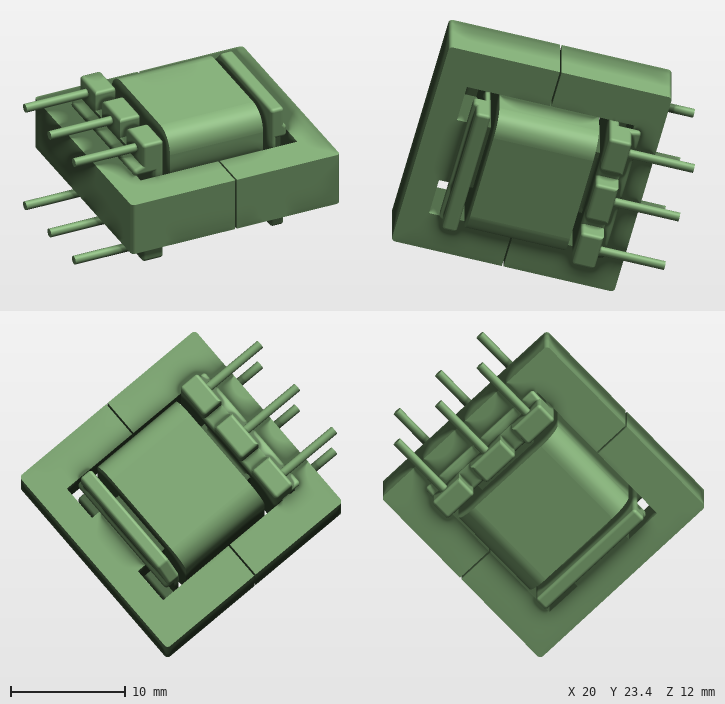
import cadquery as cq
import math


TOLERANCE = 0.002

core_width = 20.0
core_half_length = 10.0
core_thickness = 5.0
core_corner_radius = 0.35
air_gap = 0.16
window_width = 13.0
core_back = 2.5
leg_width = 6.2

winding_size = 12.0
winding_length = 9.0
winding_radius = 2.0

tube_width = 5.1
tube_height = core_thickness
strip_thickness = (leg_width - tube_width) / 2
tube_fillet = 0.25

flange_top = winding_size / 2
ledge_height = 3.0
flange_fillet = 0.3

pin_flange_width = window_width
pin_flange_inner = 5.34
pin_web_outer = 6.27
pin_flange_outer = 7.37
lip_outer = 8.21
lip_root_height = 3.85
lip_tip_height = 3.55
slot_width = 1.4
slot_floor = 4.2

plain_flange_width = winding_size
plain_flange_inner = 5.25
plain_web_thickness = 0.51
plain_web_outer = plain_flange_inner + plain_web_thickness
plain_flange_outer = 6.55
bump_outer = 6.8
bump_height = 4.0
bump_shoulder = 4.3
web_fillet = 0.19
marker_chamfer = 1.5

overall_length = 23.4
core_end = air_gap / 2 + core_half_length
pin_tip = overall_length - core_end
pin_diameter = 0.8
pin_pitch = 5.0
pin_height = pin_pitch
slot_positions = (-pin_pitch / 2, pin_pitch / 2)


def centred_box(x_size, y_start, y_end, z_size):
    """Box centred on X and Z that spans the given Y range."""
    box = cq.Workplane("XY").box(x_size, y_end - y_start, z_size)
    return box.translate((0, (y_start + y_end) / 2, 0))


def side_extrusion(upper_outline, width):
    """Mirror an upper (Y, Z) outline about Z = 0 and extrude it, centred, along X."""
    lower_outline = [(y, -z) for y, z in reversed(upper_outline)]
    outline = cq.Workplane("YZ").polyline(upper_outline + lower_outline).close()
    return outline.extrude(width / 2, both=True)


def tube(height):
    """Rectangular bar along the centre leg, reaching through both flange webs."""
    return centred_box(tube_width, -pin_web_outer, plain_web_outer, height)


def leg_bore(y_start, y_end):
    """Centre-leg section, grooved top and bottom where the tube strips lie."""
    leg = centred_box(leg_width, y_start, y_end, core_thickness)
    strips = tube(tube_height).cut(tube(tube_height - 2 * strip_thickness))
    return leg.cut(strips)


def make_core_half(side):
    """E-shaped half core; side is +1 for the +Y half and -1 for the -Y half."""
    half_start, half_end = sorted((side * air_gap / 2, side * core_end))
    half = centred_box(core_width, half_start, half_end, core_thickness)
    half = half.edges("|Z").edges(">Y" if side > 0 else "<Y").fillet(core_corner_radius)
    window_start, window_end = sorted((side * air_gap / 2, side * (core_end - core_back)))
    half = half.cut(centred_box(window_width, window_start, window_end, core_thickness))
    return half.union(leg_bore(window_start, window_end))


def is_on_line(edge, corners):
    """True for an edge along X that lies on one of the given (Y, |Z|) corners."""
    centre = edge.Center()
    return any(math.hypot(centre.y - y, abs(centre.z) - z) < TOLERANCE for y, z in corners)


def is_sharp_slot_edge(edge):
    """True for a slot edge that stays sharp: below the rim and off the inner flange face."""
    centre = edge.Center()
    off_inner_face = centre.y < -pin_flange_inner - TOLERANCE
    near_slot = any(abs(centre.x - x) < slot_width / 2 + TOLERANCE for x in slot_positions)
    below_rim = slot_floor - TOLERANCE < abs(centre.z) < flange_top - TOLERANCE
    return off_inner_face and near_slot and below_rim


def make_pin_flange():
    """Flange with three pin blocks and a sloped lip above and below the core."""
    lip_corner = (-pin_flange_outer, lip_root_height)
    web_corner = (-pin_web_outer, ledge_height)
    flange = side_extrusion(
        [
            (-pin_flange_inner, flange_top),
            (-pin_flange_outer, flange_top),
            lip_corner,
            (-lip_outer, lip_tip_height),
            (-lip_outer, ledge_height),
            web_corner,
        ],
        pin_flange_width,
    )
    slot_depth = flange_top - slot_floor
    for x in slot_positions:
        for side in (1, -1):
            slot = centred_box(slot_width, -lip_outer, -pin_flange_inner, slot_depth)
            flange = flange.cut(slot.translate((x, 0, side * (slot_floor + slot_depth / 2))))
    sharp_corners = [lip_corner, web_corner]
    rounded_edges = flange.edges().filter(
        lambda edge: not is_on_line(edge, sharp_corners) and not is_sharp_slot_edge(edge)
    )
    return rounded_edges.fillet(flange_fillet)


def is_web_edge(edge):
    """True for an upright edge at either end of the plain flange's outer web face."""
    centre = edge.Center()
    return abs(centre.y - plain_web_outer) < TOLERANCE and abs(centre.z) < TOLERANCE


def make_plain_flange():
    """Flange with a low bump near the core and one bevelled corner at -X, +Z."""
    shoulder_corner = (plain_flange_outer, bump_shoulder)
    web_corner = (plain_web_outer, ledge_height)
    flange = side_extrusion(
        [
            (plain_flange_inner, flange_top),
            (plain_flange_outer, flange_top),
            shoulder_corner,
            (bump_outer, bump_height),
            (bump_outer, ledge_height),
            web_corner,
        ],
        plain_flange_width,
    )
    flange = flange.edges("|Y and <X and >Z").chamfer(marker_chamfer)
    sharp_corners = [shoulder_corner, web_corner]
    rounded_edges = flange.edges().filter(
        lambda edge: not is_on_line(edge, sharp_corners) and not is_web_edge(edge)
    )
    flange = rounded_edges.fillet(flange_fillet)
    return flange.edges().filter(is_web_edge).fillet(web_fillet)


def make_winding():
    """Wound block with rounded long edges."""
    winding = centred_box(winding_size, -winding_length / 2, winding_length / 2, winding_size)
    return winding.edges("|Y").fillet(winding_radius)


def make_pins():
    """Two rows of three pins that stand out of the pin blocks toward -Y."""
    return (
        cq.Workplane("XZ", origin=(0, -pin_flange_outer, 0))
        .rarray(pin_pitch, 2 * pin_height, 3, 2)
        .circle(pin_diameter / 2)
        .extrude(pin_tip - pin_flange_outer)
    )


def is_tube_root(edge):
    """True for an edge where the tube meets the inner face of a flange."""
    centre = edge.Center()
    on_flange = any(abs(centre.y - y) < TOLERANCE for y in (-pin_flange_inner, plain_flange_inner))
    return on_flange and abs(centre.x) < leg_width / 2 and abs(centre.z) < ledge_height


def make_coil_former():
    """Both flanges, the tube, the winding and the pins, bored for the centre leg."""
    former = tube(tube_height).union(make_pin_flange()).union(make_plain_flange())
    former = former.edges().filter(is_tube_root).fillet(tube_fillet)
    former = former.union(make_winding()).union(make_pins())
    return former.cut(leg_bore(-core_end, core_end))


core_halves = [make_core_half(side) for side in (1, -1)]
coil_former = make_coil_former()

result = cq.Compound.makeCompound([*(half.val() for half in core_halves), coil_former.val()])